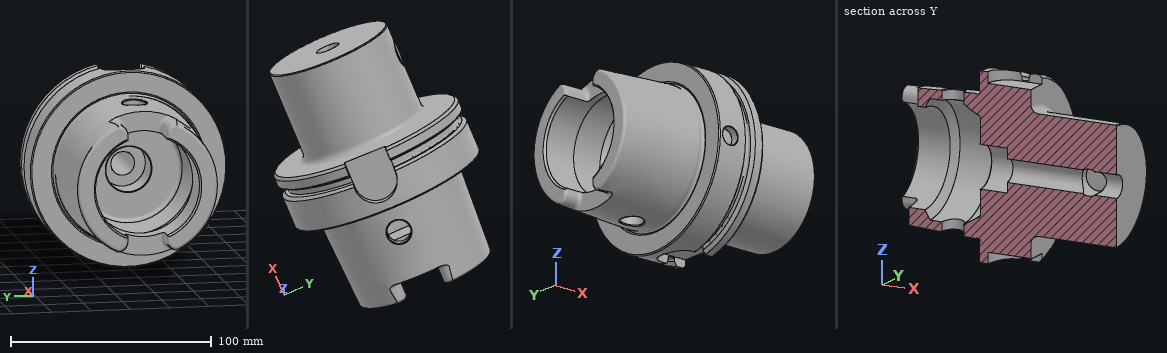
import cadquery as cq
import math


TOTAL_LENGTH = 127.9
TAPER_LENGTH = 49.9
NOSE_END = TOTAL_LENGTH - TAPER_LENGTH
FLANGE_RADIUS = 50.0
FLANGE_WIDTH = 29.5

TAPER_SLOPE = 0.05
TAPER_ROOT_X = -2.7
TAPER_ROOT_RADIUS = 37.9
TIP_FILLET = 1.7
TAPER_TIP_RADIUS = TAPER_ROOT_RADIUS - TAPER_SLOPE * (TAPER_LENGTH + TAPER_ROOT_X - TIP_FILLET)
RELIEF_RADIUS = 37.6
RELIEF_START_X = -1.4
RELIEF_ARC_RADIUS = 1.0
RELIEF_DEPTH = 0.4
RELIEF_MOUTH_RADIUS = 39.4

FRONT_CHAMFER = 0.6
BACK_CHAMFER = 1.4
GRIP_START = 17.0
GRIP_WIDTH = 6.5
GRIP_FLANK_WIDTH = 1.3
GRIP_FLANK_ANGLE = math.radians(60)
GRIP_FLANK_DROP = GRIP_FLANK_WIDTH * math.tan(GRIP_FLANK_ANGLE)
GRIP_FLOOR_RADIUS = 45.9
GRIP_FLOOR_FILLET = 0.6

NOSE_RADIUS = 32.0
NOSE_FILLET = 3.7
NOSE_CHAMFER = 0.5

BORE_RADIUS = 26.5
BORE_MOUTH_RADIUS = 27.4
BORE_MOUTH_LENGTH = 1.3
BORE_STRAIGHT_DEPTH = 19.2
CLAMPING_SHOULDER_ANGLE = math.radians(60)
UNDERCUT_RADIUS = 31.5
UNDERCUT_END_DEPTH = 40.4
UNDERCUT_CONE_ANGLE = math.radians(30)
BORE_FLOOR_RADIUS = 24.8
BORE_FLOOR_FILLET = 2.0
BORE_DEPTH = 50.4

COOLANT_RADIUS = 11.5
COOLANT_CHAMFER = 0.4
COOLANT_DEPTH = 15.3
THROUGH_RADIUS = 6.0

KEYWAY_WIDTH = 20.0
KEYWAY_TOP_DEPTH = 15.0
KEYWAY_BOTTOM_DEPTH = 10.0
KEYWAY_SHOULDER_HEIGHT = 32.2
KEYWAY_SHOULDER_RADIUS = 5.1
KEYWAY_SHOULDER_SLOPE = math.radians(20)
KEYWAY_FLOOR_FILLET = 1.9

ACCESS_RADIUS = 6.0
ACCESS_CHAMFER = 0.5
ACCESS_X = -15.0

DRIVE_SLOT_WIDTH = 22.0
DRIVE_SLOT_START = 5.0
DRIVE_SLOT_FLOOR = 44.0

CHIP_RADIUS = 4.9
CHIP_CHAMFER = 0.3
CHIP_DEPTH = 4.6
CHIP_X = 7.2

RIM_SEARCH_REACH = 0.8

SCREW_RADIUS = 6.9
SCREW_X = NOSE_END - 16.0
SCREW_TOP = 31.8
SCREW_TIP = 10.2


def revolve_about_x(outline):
    """Turn an outline of (x, radius) about the X axis."""
    return outline.close().revolve(360, (0, 0, 0), (1, 0, 0))


def turned_over(shape):
    """Turn a shape half a turn about the X axis."""
    return shape.rotate((0, 0, 0), (1, 0, 0), 180)


def outer_body():
    """The solid of revolution: taper, flange and nose."""
    relief_corner = RELIEF_DEPTH - RELIEF_ARC_RADIUS
    grip_end = GRIP_START + GRIP_WIDTH
    groove_start = GRIP_START + GRIP_FLANK_WIDTH
    groove_end = grip_end - GRIP_FLANK_WIDTH
    flank_radius = FLANGE_RADIUS - GRIP_FLANK_DROP
    groove_wall_radius = GRIP_FLOOR_RADIUS + GRIP_FLOOR_FILLET
    outline = (
        cq.Workplane("XZ")
        .moveTo(-TAPER_LENGTH, 0)
        .lineTo(-TAPER_LENGTH, TAPER_TIP_RADIUS - TIP_FILLET)
        .radiusArc((TIP_FILLET - TAPER_LENGTH, TAPER_TIP_RADIUS), TIP_FILLET)
        .lineTo(TAPER_ROOT_X, TAPER_ROOT_RADIUS)
        .lineTo(RELIEF_START_X, RELIEF_RADIUS)
        .lineTo(relief_corner, RELIEF_RADIUS)
        .radiusArc((RELIEF_DEPTH, RELIEF_RADIUS + RELIEF_ARC_RADIUS), -RELIEF_ARC_RADIUS)
        .lineTo(0, RELIEF_MOUTH_RADIUS)
        .lineTo(0, FLANGE_RADIUS - FRONT_CHAMFER)
        .lineTo(FRONT_CHAMFER, FLANGE_RADIUS)
        .lineTo(GRIP_START, FLANGE_RADIUS)
        .lineTo(groove_start, flank_radius)
        .lineTo(groove_start, groove_wall_radius)
        .radiusArc((groove_start + GRIP_FLOOR_FILLET, GRIP_FLOOR_RADIUS), -GRIP_FLOOR_FILLET)
        .lineTo(groove_end - GRIP_FLOOR_FILLET, GRIP_FLOOR_RADIUS)
        .radiusArc((groove_end, groove_wall_radius), -GRIP_FLOOR_FILLET)
        .lineTo(groove_end, flank_radius)
        .lineTo(grip_end, FLANGE_RADIUS)
        .lineTo(FLANGE_WIDTH - BACK_CHAMFER, FLANGE_RADIUS)
        .lineTo(FLANGE_WIDTH, FLANGE_RADIUS - BACK_CHAMFER)
        .lineTo(FLANGE_WIDTH, NOSE_RADIUS + NOSE_FILLET)
        .radiusArc((FLANGE_WIDTH + NOSE_FILLET, NOSE_RADIUS), -NOSE_FILLET)
        .lineTo(NOSE_END - NOSE_CHAMFER, NOSE_RADIUS)
        .lineTo(NOSE_END, NOSE_RADIUS - NOSE_CHAMFER)
        .lineTo(NOSE_END, 0)
    )
    return revolve_about_x(outline)


def bore():
    """Cutter for the stepped bore along the whole axis: clamping bore, undercut and coolant bore."""
    floor_x = BORE_DEPTH - TAPER_LENGTH
    clamping_edge_x = BORE_STRAIGHT_DEPTH - TAPER_LENGTH
    undercut_start_x = clamping_edge_x + (UNDERCUT_RADIUS - BORE_RADIUS) / math.tan(CLAMPING_SHOULDER_ANGLE)
    undercut_end_x = UNDERCUT_END_DEPTH - TAPER_LENGTH
    floor_corner_radius = BORE_FLOOR_RADIUS + BORE_FLOOR_FILLET
    cone_end_x = undercut_end_x + (UNDERCUT_RADIUS - floor_corner_radius) / math.tan(UNDERCUT_CONE_ANGLE)
    coolant_floor_x = floor_x + COOLANT_DEPTH
    outline = (
        cq.Workplane("XZ")
        .moveTo(-TAPER_LENGTH, 0)
        .lineTo(-TAPER_LENGTH, BORE_MOUTH_RADIUS)
        .lineTo(BORE_MOUTH_LENGTH - TAPER_LENGTH, BORE_RADIUS)
        .lineTo(clamping_edge_x, BORE_RADIUS)
        .lineTo(undercut_start_x, UNDERCUT_RADIUS)
        .lineTo(undercut_end_x, UNDERCUT_RADIUS)
        .lineTo(cone_end_x, floor_corner_radius)
        .lineTo(floor_x - BORE_FLOOR_FILLET, floor_corner_radius)
        .radiusArc((floor_x, BORE_FLOOR_RADIUS), BORE_FLOOR_FILLET)
        .lineTo(floor_x, COOLANT_RADIUS + COOLANT_CHAMFER)
        .lineTo(floor_x + COOLANT_CHAMFER, COOLANT_RADIUS)
        .lineTo(coolant_floor_x, COOLANT_RADIUS)
        .lineTo(coolant_floor_x, THROUGH_RADIUS)
        .lineTo(NOSE_END, THROUGH_RADIUS)
        .lineTo(NOSE_END, 0)
    )
    return revolve_about_x(outline)


def prong():
    """The shape left standing on the +Y side of the keyways, with its front edges rounded."""
    length = 2 * KEYWAY_TOP_DEPTH
    wall_y = KEYWAY_WIDTH / 2
    outer_y = FLANGE_RADIUS
    wall_top = KEYWAY_SHOULDER_HEIGHT - KEYWAY_SHOULDER_RADIUS
    arc_end_y = wall_y + KEYWAY_SHOULDER_RADIUS * (1 + math.sin(KEYWAY_SHOULDER_SLOPE))
    arc_end_z = wall_top + KEYWAY_SHOULDER_RADIUS * math.cos(KEYWAY_SHOULDER_SLOPE)
    outer_z = arc_end_z - (outer_y - arc_end_y) * math.tan(KEYWAY_SHOULDER_SLOPE)
    return (
        cq.Workplane("YZ", origin=(-TAPER_LENGTH, 0, 0))
        .moveTo(wall_y, -wall_top)
        .lineTo(wall_y, wall_top)
        .radiusArc((arc_end_y, arc_end_z), KEYWAY_SHOULDER_RADIUS)
        .lineTo(outer_y, outer_z)
        .lineTo(outer_y, -outer_z)
        .lineTo(arc_end_y, -arc_end_z)
        .radiusArc((wall_y, -wall_top), KEYWAY_SHOULDER_RADIUS)
        .close()
        .extrude(length)
        .faces("<X")
        .edges()
        .fillet(TIP_FILLET)
    )


def keyway(depth):
    """Cutter for the keyway on the +Z side: all the room around the two prongs."""
    return (
        cq.Workplane("XY", origin=(-TAPER_LENGTH, 0, 0))
        .box(depth, 2 * FLANGE_RADIUS, FLANGE_RADIUS, centered=(False, True, False))
        .cut(prong())
        .cut(turned_over(prong()))
        .faces(">X")
        .edges()
        .fillet(KEYWAY_FLOOR_FILLET)
    )


def access_hole():
    """Cutter through both walls of the taper."""
    return (
        cq.Workplane("XY", origin=(ACCESS_X, 0, 0))
        .circle(ACCESS_RADIUS)
        .extrude(TAPER_ROOT_RADIUS, both=True)
    )


def drive_slot():
    """Cutter for the round-ended slot on the +Z side, open toward the nose."""
    half_width = DRIVE_SLOT_WIDTH / 2
    center_x = DRIVE_SLOT_START + half_width
    return (
        cq.Workplane("XY", origin=(0, 0, DRIVE_SLOT_FLOOR))
        .moveTo(FLANGE_WIDTH, -half_width)
        .lineTo(FLANGE_WIDTH, half_width)
        .lineTo(center_x, half_width)
        .threePointArc((DRIVE_SLOT_START, 0), (center_x, -half_width))
        .close()
        .extrude(FLANGE_RADIUS - DRIVE_SLOT_FLOOR)
    )


def chip_hole():
    """Cutter for the blind data chip hole on the -Y side."""
    floor = FLANGE_RADIUS - CHIP_DEPTH
    return cq.Workplane("XZ", origin=(CHIP_X, -floor, 0)).circle(CHIP_RADIUS).extrude(CHIP_DEPTH)


def screw_hole():
    """Cutter for the clamping screw hole, from the +Y side of the nose to the axis."""
    return cq.Workplane("XZ", origin=(SCREW_X, 0, 0)).circle(SCREW_RADIUS).extrude(-NOSE_RADIUS)


def chamfer_rim(body, center, hole_radius, size):
    """Chamfer the outer rim of a radial hole, given a point close to the middle of the rim."""
    reach = RIM_SEARCH_REACH * hole_radius
    low = [value - reach for value in center]
    high = [value + reach for value in center]
    return body.edges(cq.selectors.BoxSelector(low, high)).chamfer(size)


def make_holder():
    """The holder with its bore, keyways, drive slots and radial holes."""
    body = outer_body().cut(bore())
    body = body.cut(keyway(KEYWAY_TOP_DEPTH)).cut(turned_over(keyway(KEYWAY_BOTTOM_DEPTH)))
    for slot in (drive_slot(), turned_over(drive_slot())):
        body = body.cut(slot)
    body = body.cut(access_hole()).cut(chip_hole()).cut(screw_hole())
    for rim_z in (TAPER_ROOT_RADIUS, -TAPER_ROOT_RADIUS):
        body = chamfer_rim(body, (ACCESS_X, 0, rim_z), ACCESS_RADIUS, ACCESS_CHAMFER)
    return chamfer_rim(body, (CHIP_X, -FLANGE_RADIUS, 0), CHIP_RADIUS, CHIP_CHAMFER)


def make_screw():
    """The screw, ending short of the through bore so that its tip stays clear of the axis."""
    return (
        cq.Workplane("XZ", origin=(SCREW_X, SCREW_TIP, 0))
        .circle(SCREW_RADIUS)
        .extrude(SCREW_TIP - SCREW_TOP)
    )


holder = make_holder()
screw = make_screw()
result = cq.Compound.makeCompound([holder.val(), screw.val()])